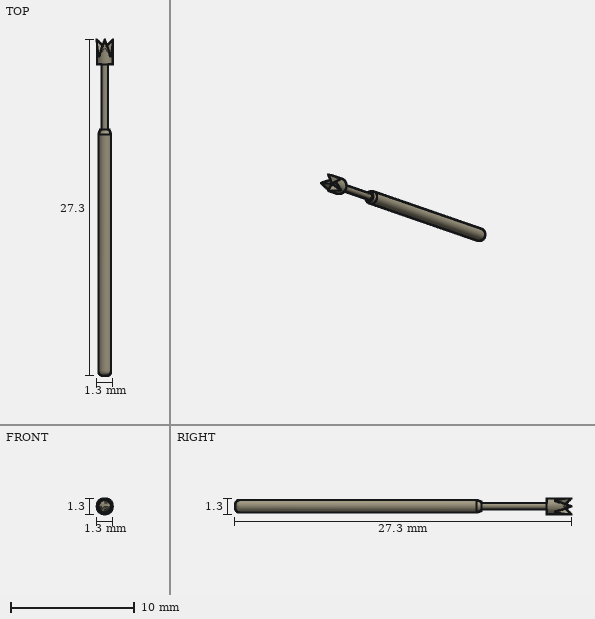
import cadquery as cq
import math

TOTAL_LENGTH = 27.3
BARREL_LENGTH = 20.0
BARREL_RADIUS = 0.52
STEM_RADIUS = 0.27
HEAD_RADIUS = 0.65
HEAD_LENGTH = 2.0

MOUTH_TAPER_LENGTH = 0.4
MOUTH_RADIUS = 0.38
TAIL_ROUND_LENGTH = 0.45
TAIL_FLAT_RADIUS = 0.2

TOOTH_COUNT = 4
CROWN_CENTER_DEPTH = 0.65
VALLEY_DEPTH = 1.35

TIP_Y = TOTAL_LENGTH / 2
TAIL_Y = -TOTAL_LENGTH / 2
MOUTH_Y = TAIL_Y + BARREL_LENGTH
HEAD_BASE_Y = TIP_Y - HEAD_LENGTH


def make_barrel():
    """Revolved barrel with a tapered mouth and a rounded tail."""
    round_start_y = TAIL_Y + TAIL_ROUND_LENGTH
    round_width = BARREL_RADIUS - TAIL_FLAT_RADIUS
    arc_middle = (
        TAIL_FLAT_RADIUS + round_width * math.cos(math.pi / 4),
        round_start_y - TAIL_ROUND_LENGTH * math.sin(math.pi / 4),
    )
    return (
        cq.Workplane("XY")
        .moveTo(0, TAIL_Y)
        .lineTo(TAIL_FLAT_RADIUS, TAIL_Y)
        .threePointArc(arc_middle, (BARREL_RADIUS, round_start_y))
        .lineTo(BARREL_RADIUS, MOUTH_Y - MOUTH_TAPER_LENGTH)
        .lineTo(MOUTH_RADIUS, MOUTH_Y)
        .lineTo(0, MOUTH_Y)
        .close()
        .revolve(360, (0, 0, 0), (0, 1, 0))
    )


def make_rod(radius, start_y, end_y):
    """Solid cylinder on the Y axis between two positions."""
    return cq.Workplane("XZ", origin=(0, start_y, 0)).circle(radius).extrude(start_y - end_y)


def make_tooth_prism():
    """Roof-shaped prism whose ridge drops from the tip at +Z to the head axis."""
    ridge_angle = math.atan2(CROWN_CENTER_DEPTH, HEAD_RADIUS)
    ridge_direction = (0, math.sin(ridge_angle), math.cos(ridge_angle))

    valley_offset = HEAD_RADIUS * math.sin(math.pi / TOOTH_COUNT)
    ridge_depth_at_valley = CROWN_CENTER_DEPTH * (1 - valley_offset / HEAD_RADIUS)
    side_slope = (VALLEY_DEPTH - ridge_depth_at_valley) / valley_offset

    half_width = 2 * HEAD_RADIUS
    roof_height = half_width * side_slope * math.cos(ridge_angle)
    section_plane = cq.Plane(origin=(0, TIP_Y, HEAD_RADIUS), xDir=(1, 0, 0), normal=ridge_direction)
    return (
        cq.Workplane(section_plane)
        .polyline([(0, 0), (half_width, -roof_height), (-half_width, -roof_height)])
        .close()
        .extrude(2 * HEAD_LENGTH, both=True)
    )


def make_head():
    """Crown head: a plain collar topped by pointed teeth at +-X and +-Z."""
    head = make_rod(HEAD_RADIUS, HEAD_BASE_Y, TIP_Y - VALLEY_DEPTH)
    head_blank = make_rod(HEAD_RADIUS, HEAD_BASE_Y, TIP_Y)
    tooth_prism = make_tooth_prism()
    for index in range(TOOTH_COUNT):
        turned_prism = tooth_prism.rotate((0, 0, 0), (0, 1, 0), index * 360 / TOOTH_COUNT)
        head = head.union(head_blank.intersect(turned_prism))
    return head


barrel = make_barrel()
stem = make_rod(STEM_RADIUS, MOUTH_Y, HEAD_BASE_Y)
result = barrel.union(stem).union(make_head())